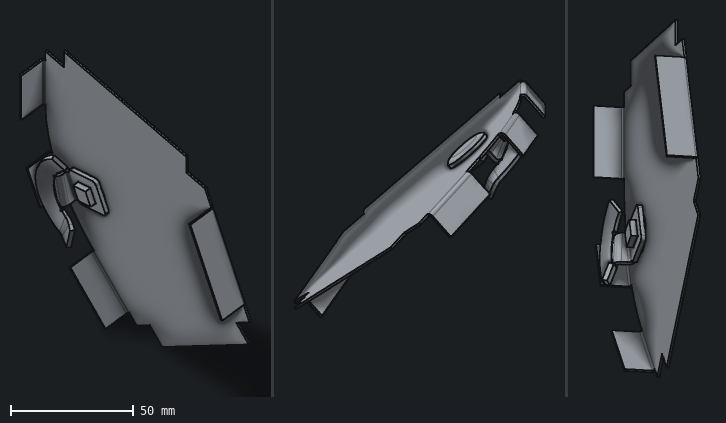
import cadquery as cq
import math


SHEET = 1.0
FAN_TURN = 22.5
LEFT_X = -27.9
SHOULDER_Z = 66.2
TAB_WIDTH = 73.7
TAB_HEIGHT = 10.6
SHOULDER = 11.2
RIGHT_SIDE = 70.0
STRAIGHT_SIDE = 36.3
FLANGE_DEPTH = 13.5
LEFT_FLANGE_BEND = 1.9
RIGHT_FLANGE_BEND = 1.5
LEFT_FLANGE_OUTSET = 1.9
RIGHT_FLANGE_OUTSET = 1.0
FLANGE_ROOT = 1.5
END_FLANGE_LENGTH = 30.0
MIDDLE_FLANGE_LENGTH = 20.5
RIGHT_FLANGE_LENGTH = 50.0

HEAD_DIAMETER = 20.0
HEAD_FLAT_DIAMETER = 13.5
HEAD_HEIGHT = 3.1
HEAD_RIM = 1.7
SHANK_DIAMETER = 16.5
SHANK_END = 1.7
SQUARE = 8.0
SQUARE_END = 6.5
SQUARE_HOLE = 8.3

LEVER_TURN = 22.5
LEVER_SHEET = 2.0
PAD_HALF = 9.0
PAD_CORNER = 2.0
TAB_STRIP_WIDTH = 14.7
STRIP_BEND = 1.0
PAD_BEND_START = 8.7
GRIP_INNER = 13.5
GRIP_OUTER = 21.2
GRIP_OUTER_DEPTH = 13.3
GRIP_SLOPE = 21.0
GRIP_RISE = 0.03
GRIP_STATIONS = 8
GRIP_UPPER_ANGLE = 74.5
RELIEF = 1.1
RELIEF_REACH = 11.5
STRIP_RUN = 1.3
FOLD_START = (-48.5, -55.5, 0, 0, 0)
FOLD_END = (-64.5, -61.5, 0.93, 0.5, 0.9)
TAIL_END = (-77.2, -76.5, 2.5, 2.6, 0.9)


def heading(angle):
    """Unit vector in the XZ plane, measured from +X toward +Z."""
    return cq.Vector(math.cos(math.radians(angle)), 0, math.sin(math.radians(angle)))


def tabbed_side(corner, along, outward):
    """Points of a side that carries a centred rectangular tab, from its first corner to its last."""
    tab_start = corner + along * SHOULDER
    tab_end = tab_start + along * TAB_WIDTH
    step = outward * TAB_HEIGHT
    return [corner, tab_start, tab_start + step, tab_end + step, tab_end, tab_end + along * SHOULDER]


TOP_LEFT = cq.Vector(LEFT_X, 0, SHOULDER_Z)
TOP_SIDE = tabbed_side(TOP_LEFT, heading(0), heading(90))
RIGHT_HEADING = FAN_TURN - 90
RIGHT_END = TOP_SIDE[-1] + heading(RIGHT_HEADING) * RIGHT_SIDE
BOTTOM_SIDE = tabbed_side(RIGHT_END, heading(-135), heading(-45))
ARC_TOP = TOP_LEFT - heading(90) * STRAIGHT_SIDE
ARC_BOTTOM = BOTTOM_SIDE[-1] + heading(135) * STRAIGHT_SIDE
ARC_SAGITTA = (ARC_TOP - ARC_BOTTOM).Length / 2 * math.tan(math.radians(FAN_TURN / 2))
MIDDLE_OUT = 180 + FAN_TURN
ARC_MIDDLE = (ARC_TOP + ARC_BOTTOM) * 0.5 + heading(MIDDLE_OUT) * ARC_SAGITTA


def flat(point):
    return (point.x, point.z)


def make_sheet():
    outline = [flat(p) for p in TOP_SIDE + BOTTOM_SIDE]
    return (
        cq.Workplane("XZ")
        .polyline(outline)
        .lineTo(*flat(ARC_BOTTOM))
        .threePointArc(flat(ARC_MIDDLE), flat(ARC_TOP))
        .close()
        .extrude(SHEET)
    )


def add_flange(sheet, middle, out_angle, length, outset, bend):
    """Trim the sheet edge to the bend line and join a flange folded forward there."""
    out = heading(out_angle)
    plane = cq.Plane(origin=middle.toTuple(), xDir=out.toTuple(), normal=(out.z, 0, -out.x))
    bend_start = outset - bend
    inner_bend = bend - SHEET
    diagonal = math.sqrt(0.5)
    profile = (
        cq.Workplane(plane)
        .moveTo(-FLANGE_ROOT, 0)
        .lineTo(bend_start, 0)
        .threePointArc(
            (bend_start + bend * diagonal, bend * (1 - diagonal)),
            (outset, bend),
        )
        .lineTo(outset, FLANGE_DEPTH)
        .lineTo(outset - SHEET, FLANGE_DEPTH)
        .lineTo(outset - SHEET, bend)
        .threePointArc(
            (bend_start + inner_bend * diagonal, bend - inner_bend * diagonal),
            (bend_start, SHEET),
        )
        .lineTo(-FLANGE_ROOT, SHEET)
        .close()
    )
    flange = profile.extrude(length / 2, both=True)
    trim = (
        cq.Workplane(plane)
        .moveTo(bend_start, 0)
        .rect(FLANGE_DEPTH, FLANGE_DEPTH, centered=False)
        .extrude(length / 2, both=True)
    )
    return sheet.cut(trim).union(flange)


def make_panel():
    left_middle = ARC_TOP + heading(90) * (END_FLANGE_LENGTH / 2)
    bottom_middle = ARC_BOTTOM + heading(-45) * (END_FLANGE_LENGTH / 2)
    right_middle = (TOP_SIDE[-1] + RIGHT_END) * 0.5
    left_fold = (LEFT_FLANGE_OUTSET, LEFT_FLANGE_BEND)
    right_fold = (RIGHT_FLANGE_OUTSET, RIGHT_FLANGE_BEND)
    panel = make_sheet()
    panel = add_flange(panel, left_middle, 180, END_FLANGE_LENGTH, *left_fold)
    panel = add_flange(panel, ARC_MIDDLE, MIDDLE_OUT, MIDDLE_FLANGE_LENGTH, *left_fold)
    panel = add_flange(panel, bottom_middle, 225, END_FLANGE_LENGTH, *left_fold)
    panel = add_flange(panel, right_middle, FAN_TURN, RIGHT_FLANGE_LENGTH, *right_fold)
    shank_hole = cq.Workplane("XZ").circle(SHANK_DIAMETER / 2).extrude(SHEET)
    return panel.cut(shank_hole)


def turn_to_lever(body):
    return body.rotate((0, 0, 0), (0, 1, 0), -LEVER_TURN)


def make_square(side):
    return cq.Workplane("XZ").rect(side, side).extrude(SQUARE_END)


def make_pin():
    head_radius = HEAD_DIAMETER / 2
    shank_radius = SHANK_DIAMETER / 2
    turned = (
        cq.Workplane("XY")
        .moveTo(0, HEAD_HEIGHT)
        .lineTo(HEAD_FLAT_DIAMETER / 2, HEAD_HEIGHT)
        .tangentArcPoint((head_radius, HEAD_RIM), relative=False)
        .lineTo(head_radius, 0)
        .lineTo(shank_radius, 0)
        .lineTo(shank_radius, -SHANK_END)
        .lineTo(0, -SHANK_END)
        .close()
        .revolve(360, (0, 0), (0, 1))
    )
    return turned.union(turn_to_lever(make_square(SQUARE)))


def make_pad():
    length = PAD_BEND_START + PAD_HALF
    pad = (
        cq.Workplane("XZ", origin=(0, -SHANK_END, 0))
        .center((PAD_HALF - PAD_BEND_START) / 2, 0)
        .rect(length, 2 * PAD_HALF)
        .extrude(LEVER_SHEET)
        .edges("|Y")
        .fillet(PAD_CORNER)
    )
    return pad.cut(make_square(SQUARE_HOLE))


def strip_section(z, lean):
    """Wire of the bent strip at height z: forward from the pad, then outward onto the grip."""
    slope = math.radians(GRIP_SLOPE)
    outer_bend = STRIP_BEND + LEVER_SHEET
    back_y = -SHANK_END
    fold_y = back_y - outer_bend
    face_x = -PAD_BEND_START - outer_bend
    second_x = face_x - STRIP_BEND
    grip_start_x = second_x + outer_bend * math.sin(slope)
    grip_start_depth = GRIP_OUTER_DEPTH - (GRIP_OUTER + grip_start_x) * math.tan(slope)
    second_y = lean - grip_start_depth + outer_bend * math.cos(slope)

    def bend_point(center, radius, angle):
        return (
            center[0] + radius * math.cos(angle),
            center[1] + radius * math.sin(angle),
        )

    first = (-PAD_BEND_START, fold_y)
    first_middle_angle = math.radians(135)
    first_outer_middle = bend_point(first, outer_bend, first_middle_angle)
    first_inner_middle = bend_point(first, STRIP_BEND, first_middle_angle)
    second = (second_x, second_y)
    end_angle = slope - math.pi / 2
    front_end = bend_point(second, outer_bend, end_angle)
    back_end = bend_point(second, STRIP_BEND, end_angle)
    run_x = -STRIP_RUN * math.cos(slope)
    run_y = -STRIP_RUN * math.sin(slope)
    root_x = -PAD_BEND_START + PAD_CORNER
    return (
        cq.Workplane("XY", origin=(0, 0, z))
        .moveTo(root_x, back_y)
        .lineTo(-PAD_BEND_START, back_y)
        .threePointArc(first_outer_middle, (face_x, fold_y))
        .lineTo(face_x, second_y)
        .threePointArc(bend_point(second, STRIP_BEND, end_angle / 2), back_end)
        .line(run_x, run_y)
        .lineTo(front_end[0] + run_x, front_end[1] + run_y)
        .lineTo(*front_end)
        .threePointArc(bend_point(second, outer_bend, end_angle / 2), (second_x + outer_bend, second_y))
        .lineTo(-PAD_BEND_START - STRIP_BEND, fold_y)
        .threePointArc(first_inner_middle, (-PAD_BEND_START, back_y - LEVER_SHEET))
        .lineTo(root_x, back_y - LEVER_SHEET)
        .close()
        .val()
    )


def make_strip():
    """Strip whose outer bend leans with the grip from one edge to the other."""
    half_width = TAB_STRIP_WIDTH / 2
    lean = GRIP_RISE * math.degrees(math.asin(half_width / GRIP_INNER))
    sections = [strip_section(side * half_width, side * lean) for side in (-1, 1)]
    return cq.Workplane(obj=cq.Solid.makeLoft(sections, True))


def grip_section(inner_angle, outer_angle, inner_drop, outer_drop, rear_shift):
    """Wire across the grip; angles run upward from the middle of the tab strip."""
    slope = math.radians(GRIP_SLOPE)
    inner_depth = GRIP_OUTER_DEPTH - (GRIP_OUTER - GRIP_INNER) * math.tan(slope)
    inner_y = GRIP_RISE * inner_angle - inner_depth - inner_drop
    outer_y = GRIP_RISE * outer_angle - GRIP_OUTER_DEPTH - outer_drop
    inner = heading(180 - inner_angle) * GRIP_INNER + cq.Vector(0, inner_y, 0)
    outer = heading(180 - outer_angle) * GRIP_OUTER + cq.Vector(0, outer_y, 0)
    middle_angle = 180 - (inner_angle + outer_angle) / 2
    backward = cq.Vector(0, math.cos(slope), 0)
    thickness = (heading(middle_angle) * math.sin(slope) + backward) * LEVER_SHEET
    thickness += heading(middle_angle + 90) * rear_shift
    return cq.Wire.makePolygon([inner, outer, outer + thickness, inner + thickness], close=True)


def blend(start, end, fraction):
    return [a + (b - a) * fraction for a, b in zip(start, end)]


def cut_reliefs(grip):
    for side in (1, -1):
        relief = (
            cq.Workplane("XZ")
            .center(-RELIEF_REACH / 2, side * (TAB_STRIP_WIDTH + RELIEF) / 2)
            .rect(RELIEF_REACH, RELIEF)
            .extrude(GRIP_OUTER_DEPTH)
        )
        grip = grip.cut(relief)
    return grip


def make_grip():
    """Dished ring sector leaning forward toward its lower end, where a tail folds further forward."""
    upper_end = (GRIP_UPPER_ANGLE, GRIP_UPPER_ANGLE, 0, 0, 0)
    fractions = [station / (GRIP_STATIONS - 1) for station in range(GRIP_STATIONS)]
    ring_wires = [grip_section(*blend(upper_end, FOLD_START, fraction)) for fraction in fractions]
    half_angles = blend(FOLD_START, FOLD_END, 1 / 2)[:2]
    quarter_drops = blend(FOLD_START, FOLD_END, 1 / 4)[2:4]
    half_shift = FOLD_END[4] / 2
    fold_middle = grip_section(*half_angles, *quarter_drops, half_shift)
    fold_start = grip_section(*FOLD_START)
    fold_end = grip_section(*FOLD_END)
    ring = cq.Workplane(obj=cq.Solid.makeLoft(ring_wires))
    fold = cq.Solid.makeLoft([fold_start, fold_middle, fold_end])
    tail = cq.Solid.makeLoft([fold_end, grip_section(*TAIL_END)], True)
    return cut_reliefs(ring).union(cq.Workplane(obj=fold)).union(cq.Workplane(obj=tail))


def make_lever():
    lever = make_pad().union(make_strip()).union(make_grip())
    return turn_to_lever(lever)


panel = make_panel()
pin = make_pin()
lever = make_lever()
result = cq.Compound.makeCompound([body.solids().val() for body in (panel, pin, lever)])